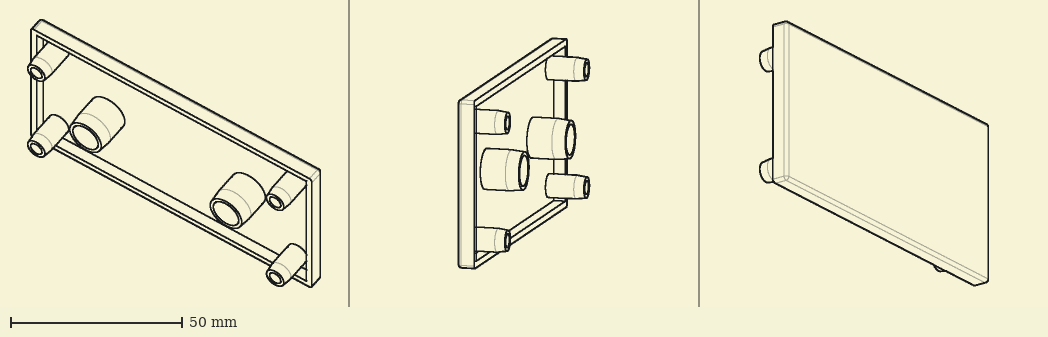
import cadquery as cq

length = 100.0
height = 50.0
tray_depth = 5.0
wall = 2.0
floor = 1.5
edge_round = 1.0

total_depth = 13.0
rim_y = total_depth - tray_depth
floor_y = total_depth - floor

large_diameter = 12.0
large_tip_diameter = 11.2
large_bore = 9.0
large_taper = 4.0
large_spacing = 50.0

small_diameter = 7.0
small_tip_diameter = 6.2
small_bore = 4.0
small_taper = 3.0
small_spacing_x = 85.0
small_spacing_z = 35.0


def make_tray():
    """Box with rounded corners and back edge, hollowed from the rim to the floor."""
    body = cq.Workplane("XY").box(length, tray_depth, height)
    body = body.translate((0, rim_y + tray_depth / 2, 0))
    body = body.edges("|Y").fillet(edge_round)
    body = body.faces(">Y").edges().fillet(edge_round)
    pocket_depth = tray_depth - floor
    pocket = cq.Workplane("XY").box(length - 2 * wall, pocket_depth, height - 2 * wall)
    return body.cut(pocket.translate((0, rim_y + pocket_depth / 2, 0)))


def make_peg(diameter, tip_diameter, bore, taper):
    """Hollow peg along Y, tapered towards its tip at Y = 0."""
    profile = [
        (bore / 2, 0),
        (tip_diameter / 2, 0),
        (diameter / 2, taper),
        (diameter / 2, floor_y),
        (bore / 2, floor_y),
    ]
    return cq.Workplane("XY").polyline(profile).close().revolve(360, (0, 0, 0), (0, 1, 0))


result = make_tray()

large_peg = make_peg(large_diameter, large_tip_diameter, large_bore, large_taper)
small_peg = make_peg(small_diameter, small_tip_diameter, small_bore, small_taper)
for side in (-1, 1):
    result = result.union(large_peg.translate((side * large_spacing / 2, 0, 0)))
    for level in (-1, 1):
        corner = (side * small_spacing_x / 2, 0, level * small_spacing_z / 2)
        result = result.union(small_peg.translate(corner))